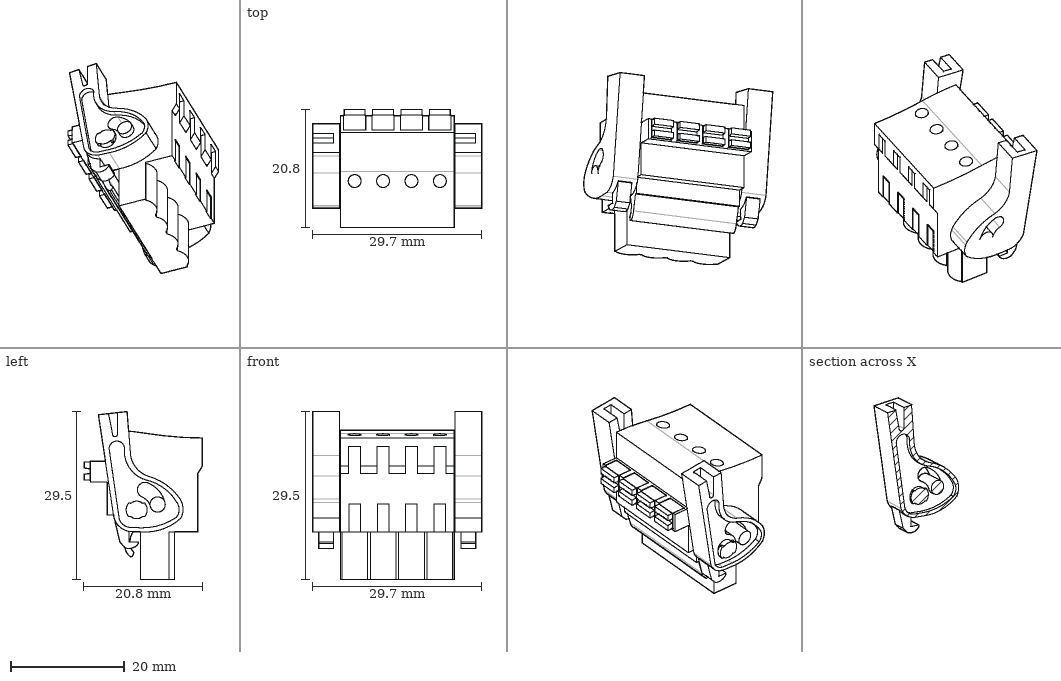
import cadquery as cq
import math


POLE_COUNT = 4
POLE_PITCH = 5.0
POLE_XS = [(i - (POLE_COUNT - 1) / 2) * POLE_PITCH for i in range(POLE_COUNT)]

OVERALL_WIDTH = 29.7
HOUSING_WIDTH = 20.02
LEVER_GAP = 0.1
LEVER_WIDTH = (OVERALL_WIDTH - HOUSING_WIDTH) / 2 - LEVER_GAP

FRONT_TOP_Z = 16.5
LIP_BOTTOM_Z = 11.58
LOWER_FACE_TOP_Z = 10.25
LOWER_FACE_Y = 0.8
TOP_INFLECTION = (9.85, 17.32)
BACK_Y = 16.72
BACK_TOP_Z = 17.88
LEDGE_BACK_Y = 19.7
LEDGE_TOP_Z = 12.4
LEDGE_BOTTOM_Z = 8.73
BACK_STEP_Z = 2.95
BACK_STEP_Y = 14.85

SKIRT_BOTTOM_Z = -8.38
SKIRT_FRONT_Y = 5.88
SKIRT_BACK_Y = 10.9
BUMP_WIDTH = 4.48
BUMP_HEIGHT = 0.98

WIRE_HOLE_DIAMETER = 2.25
WIRE_HOLE_Y = 8.2
WIRE_HOLE_FLOOR_Z = 11.88
WINDOW_WIDTH = 2.1
WINDOW_TOP_Z = 15.03
RECESS_WIDTH = 2.02
RECESS_HEIGHT = 4.9
RECESS_DEPTH = 0.15
POCKET_WIDTH = 3.92

BUTTON_INNER_Y = 17.17
BUTTON_BODY_Y = 19.78
BUTTON_TIP_Y = 20.8
BUTTON_BOTTOM_Z = 9.03
BUTTON_TOP_Z = 12.35
BUTTON_BODY_WIDTH = 3.83
BUTTON_HEAD_INSET = 0.05
BUTTON_HEAD_WIDTH = BUTTON_BODY_WIDTH - 2 * BUTTON_HEAD_INSET
NOTCH_MID_Z = 10.65
NOTCH_MOUTH = 1.07
NOTCH_BASE = 0.77

LEVER_TOP_Z = 21.15
RIM_DEPTH = 1.07
GRIP_SLOT_DEPTH = 3.65
HOOK_WIDTH = 2.65
PIVOT = (11.55, 3.85)
PIVOT_RADIUS = 1.55
PIVOT_KEY_RADIUS = 1.85
PIVOT_KEY_HEIGHT = 2.35
PIVOT_KEY_THICKNESS = 0.65
STOP_PIN = (7.87, 4.8)
STOP_RADIUS = 1.35
STOP_SWEEP = 53
STOP_SLOT_DEPTH = LEVER_WIDTH - RIM_DEPTH


def side_sketch(x):
    """Workplane at the given X whose local axes are Y and Z and whose normal is +X."""
    return cq.Workplane("YZ", origin=(x, 0, 0))


def box(x_size, x_mid, y_range, z_range):
    """Box centred on x_mid between two Y values and two Z values."""
    (y0, y1), (z0, z1) = y_range, z_range
    return cq.Workplane("XY").box(x_size, y1 - y0, z1 - z0).translate(
        (x_mid, (y0 + y1) / 2, (z0 + z1) / 2)
    )


def top_arc_middle(level_point, other_point):
    """Middle point of an arc that is level at level_point and ends at other_point."""
    run = other_point[0] - level_point[0]
    rise = other_point[1] - level_point[1]
    radius = (run**2 + rise**2) / (2 * rise)
    half_angle = math.asin(run / radius) / 2
    return (
        level_point[0] + radius * math.sin(half_angle),
        level_point[1] + radius * (1 - math.cos(half_angle)),
    )


def housing_block():
    """Extruded housing section with a curved top, a front lip and the button ledge at the back."""
    front_top = (0, FRONT_TOP_Z)
    back_top = (BACK_Y, BACK_TOP_Z)
    return (
        side_sketch(-HOUSING_WIDTH / 2)
        .moveTo(LOWER_FACE_Y, 0)
        .lineTo(LOWER_FACE_Y, LOWER_FACE_TOP_Z)
        .lineTo(0, LIP_BOTTOM_Z)
        .lineTo(*front_top)
        .threePointArc(top_arc_middle(front_top, TOP_INFLECTION), TOP_INFLECTION)
        .threePointArc(top_arc_middle(back_top, TOP_INFLECTION), back_top)
        .lineTo(BACK_Y, LEDGE_TOP_Z)
        .lineTo(LEDGE_BACK_Y, LEDGE_TOP_Z)
        .lineTo(LEDGE_BACK_Y, LEDGE_BOTTOM_Z)
        .lineTo(BACK_Y, LEDGE_BOTTOM_Z)
        .lineTo(BACK_Y, BACK_STEP_Z)
        .lineTo(BACK_STEP_Y, BACK_STEP_Z)
        .lineTo(BACK_STEP_Y, 0)
        .close()
        .extrude(HOUSING_WIDTH)
    )


def latch_rib():
    """Curved latch that hangs from the back of the housing underside."""
    return (
        side_sketch(-HOUSING_WIDTH / 2)
        .moveTo(12.18, 0)
        .threePointArc((12.62, -1.05), (12.75, -1.93))
        .lineTo(12.5, -2.97)
        .lineTo(12.03, -3.62)
        .lineTo(12.27, -4.3)
        .lineTo(12.6, -4.4)
        .threePointArc((13.22, -3.8), (13.6, -2.88))
        .lineTo(14.4, 0)
        .close()
        .extrude(HOUSING_WIDTH)
    )


def plug_skirt():
    """Plug block under the housing with one rounded bump per pole on its front."""
    skirt = box(HOUSING_WIDTH, 0, (SKIRT_FRONT_Y, SKIRT_BACK_Y), (SKIRT_BOTTOM_Z, 0))
    for x in POLE_XS:
        bump = (
            cq.Workplane("XY", origin=(x, SKIRT_FRONT_Y, SKIRT_BOTTOM_Z))
            .moveTo(-BUMP_WIDTH / 2, 0)
            .threePointArc((0, -BUMP_HEIGHT), (BUMP_WIDTH / 2, 0))
            .close()
            .extrude(-SKIRT_BOTTOM_Z)
        )
        skirt = skirt.union(bump)
    return skirt


def pole_openings(x):
    """Wire hole, front window, front recess and button pocket of one pole."""
    wire_hole = (
        cq.Workplane("XY", origin=(x, WIRE_HOLE_Y, WIRE_HOLE_FLOOR_Z))
        .circle(WIRE_HOLE_DIAMETER / 2)
        .extrude(BACK_TOP_Z - WIRE_HOLE_FLOOR_Z)
    )
    window = box(WINDOW_WIDTH, x, (0, LOWER_FACE_Y), (LOWER_FACE_TOP_Z, WINDOW_TOP_Z))
    recess = box(RECESS_WIDTH, x, (LOWER_FACE_Y, LOWER_FACE_Y + RECESS_DEPTH), (0, RECESS_HEIGHT))
    pocket = box(POCKET_WIDTH, x, (BUTTON_INNER_Y, LEDGE_BACK_Y), (BUTTON_BOTTOM_Z, LEDGE_TOP_Z))
    return wire_hole.union(window).union(recess).union(pocket)


def make_housing():
    """Housing with its latch and plug skirt, opened for every pole."""
    housing = housing_block().union(latch_rib()).union(plug_skirt())
    for x in POLE_XS:
        housing = housing.cut(pole_openings(x))
    return housing


def make_button(x):
    """Release button with a notched head sticking out of the ledge."""
    body_zs = (BUTTON_BOTTOM_Z, BUTTON_TOP_Z)
    head_zs = (BUTTON_BOTTOM_Z + BUTTON_HEAD_INSET, BUTTON_TOP_Z - BUTTON_HEAD_INSET)
    body = box(BUTTON_BODY_WIDTH, x, (BUTTON_INNER_Y, BUTTON_BODY_Y), body_zs)
    head = box(BUTTON_HEAD_WIDTH, x, (BUTTON_BODY_Y, BUTTON_TIP_Y), head_zs)
    notch = (
        side_sketch(x - BUTTON_HEAD_WIDTH / 2)
        .moveTo(BUTTON_TIP_Y, NOTCH_MID_Z - NOTCH_MOUTH / 2)
        .lineTo(BUTTON_TIP_Y, NOTCH_MID_Z + NOTCH_MOUTH / 2)
        .lineTo(BUTTON_BODY_Y, NOTCH_MID_Z + NOTCH_BASE / 2)
        .lineTo(BUTTON_BODY_Y, NOTCH_MID_Z - NOTCH_BASE / 2)
        .close()
        .extrude(BUTTON_HEAD_WIDTH)
    )
    return body.union(head.cut(notch))


def lever_plate(x):
    """Lever outline: straight grip that widens in an S-curve to a rounded foot."""
    return (
        side_sketch(x)
        .moveTo(18.3, 20.58)
        .lineTo(13.22, LEVER_TOP_Z)
        .lineTo(12.62, 13.45)
        .threePointArc((11.58, 11.17), (9.62, 9.8))
        .threePointArc((6.53, 8.38), (3.9, 5.73))
        .lineTo(3.62, 5.15)
        .threePointArc((3.42, 3.83), (3.8, 2.4))
        .threePointArc((6.95, 0.5), (10.75, 0))
        .lineTo(12.92, 0.1)
        .threePointArc((14.45, 0.83), (15.53, 2.38))
        .close()
        .extrude(LEVER_WIDTH)
    )


def lever_panel(x):
    """Shallow recess that leaves a raised rim around the lever face."""
    return (
        side_sketch(x)
        .moveTo(16.4, 14.6)
        .threePointArc((15.03, 15.95), (13.7, 14.75))
        .threePointArc((12.7, 11.08), (9.92, 9.12))
        .threePointArc((6.75, 7.65), (4.35, 4.9))
        .threePointArc((4.1, 3.83), (4.6, 2.55))
        .threePointArc((7.5, 1.15), (10.75, 0.7))
        .lineTo(12.92, 0.8)
        .threePointArc((14.02, 1.35), (14.6, 2.3))
        .close()
        .extrude(RIM_DEPTH)
    )


def grip_slot(x):
    """Tapered slot, open at the top and on the -X face of the grip."""
    return (
        side_sketch(x)
        .moveTo(16.57, LEVER_TOP_Z)
        .lineTo(15.75, 16.93)
        .threePointArc((15.3, 16.72), (14.9, 17.08))
        .lineTo(14.9, LEVER_TOP_Z)
        .close()
        .extrude(GRIP_SLOT_DEPTH)
    )


def lever_hook(x):
    """Hook under the lever foot, centred in the lever width, with a flat catch facing up."""
    return (
        side_sketch(x + (LEVER_WIDTH - HOOK_WIDTH) / 2)
        .moveTo(12.9, 0.9)
        .lineTo(12.9, -1.75)
        .lineTo(11.23, -1.75)
        .lineTo(11.25, -2.05)
        .threePointArc((12.62, -2.9), (13.7, -2.7))
        .lineTo(14.52, -1.78)
        .lineTo(15.35, 1.72)
        .close()
        .extrude(HOOK_WIDTH)
    )


def turned_about_pivot(point, degrees):
    """Point turned about the lever pivot in the YZ plane."""
    angle = math.radians(degrees)
    dy = point[0] - PIVOT[0]
    dz = point[1] - PIVOT[1]
    return (
        PIVOT[0] + dy * math.cos(angle) - dz * math.sin(angle),
        PIVOT[1] + dy * math.sin(angle) + dz * math.cos(angle),
    )


def stop_slot(x):
    """Kidney slot concentric with the pivot, running through from the panel floor."""
    reach = math.hypot(STOP_PIN[0] - PIVOT[0], STOP_PIN[1] - PIVOT[1])

    def scaled(radius, degrees):
        """Point at the given radius from the pivot, turned from the stop pin."""
        y, z = turned_about_pivot(STOP_PIN, degrees)
        ratio = radius / reach
        return (PIVOT[0] + (y - PIVOT[0]) * ratio, PIVOT[1] + (z - PIVOT[1]) * ratio)

    inner = reach - STOP_RADIUS
    outer = reach + STOP_RADIUS
    band = (
        side_sketch(x)
        .moveTo(*scaled(inner, 0))
        .threePointArc(scaled(inner, -STOP_SWEEP / 2), scaled(inner, -STOP_SWEEP))
        .lineTo(*scaled(outer, -STOP_SWEEP))
        .threePointArc(scaled(outer, -STOP_SWEEP / 2), scaled(outer, 0))
        .close()
        .extrude(STOP_SLOT_DEPTH)
    )
    end_centre = turned_about_pivot(STOP_PIN, -STOP_SWEEP)
    return band.union(disc(x, end_centre, STOP_RADIUS, STOP_SLOT_DEPTH))


def disc(x, centre, radius, height):
    """Cylinder along X that starts at the given X."""
    return side_sketch(x).center(*centre).circle(radius).extrude(height)


def pivot_boss(x):
    """Round pivot with a flat-sided key plate at its outer end, flush with the rim."""
    flats = (
        side_sketch(x)
        .center(*PIVOT)
        .rect(2 * PIVOT_KEY_RADIUS, PIVOT_KEY_HEIGHT)
        .extrude(PIVOT_KEY_THICKNESS)
    )
    key = disc(x, PIVOT, PIVOT_KEY_RADIUS, PIVOT_KEY_THICKNESS).intersect(flats)
    return disc(x, PIVOT, PIVOT_RADIUS, RIM_DEPTH).union(key)


def make_lever(x):
    """Ejector lever whose -X face lies at the given X."""
    lever = lever_plate(x).union(lever_hook(x))
    lever = lever.cut(lever_panel(x)).cut(grip_slot(x)).cut(stop_slot(x + RIM_DEPTH))
    stop_pin = disc(x, STOP_PIN, STOP_RADIUS, LEVER_WIDTH)
    return lever.union(pivot_boss(x)).union(stop_pin)


housing = make_housing()
buttons = [make_button(x) for x in POLE_XS]
levers = [make_lever(x) for x in (-OVERALL_WIDTH / 2, OVERALL_WIDTH / 2 - LEVER_WIDTH)]

result = cq.Compound.makeCompound(
    [
        housing.val(),
        *[button.val() for button in buttons],
        *[lever.val() for lever in levers],
    ]
)